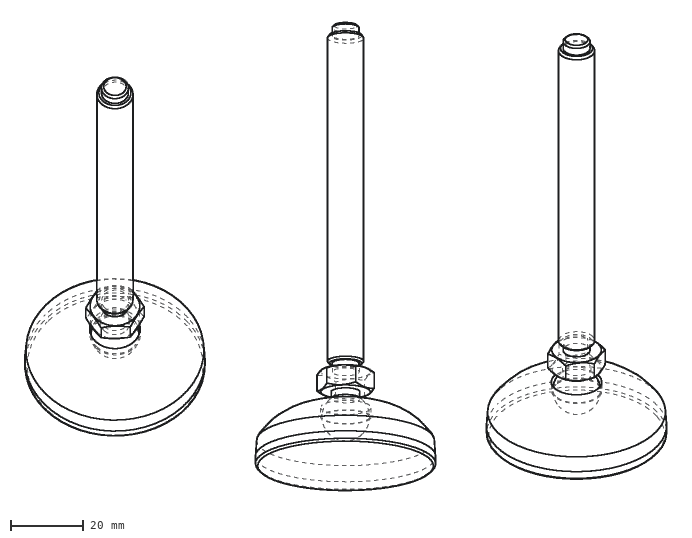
import cadquery as cq
import math

TOTAL_HEIGHT = 127.2

FOOT_DIAMETER = 50.0
PAD_HEIGHT = 2.8
PAD_CHAMFER = 0.6

SKIRT_TOP_DIAMETER = 49.4
SKIRT_TOP_Z = 7.4
DOME_RIM_DIAMETER = 48.6
DOME_RADIUS = 20.6
DOME_RIM_Z = 8.1
DOME_FLAT_DIAMETER = 18.3
DOME_TOP_Z = 16.9
SOCKET_MOUTH_DIAMETER = 14.0

BALL_DIAMETER = 13.2
NECK_DIAMETER = 8.0
NECK_BOTTOM_Z = 19.5
HEX_ACROSS_FLATS = 14.0
HEX_FACE_DIAMETER = 13.7
HEX_CHAMFER_ANGLE = 30.0
HEX_BOTTOM_Z = 21.4
HEX_TOP_Z = 27.2
RELIEF_DIAMETER = 7.5
ROD_DIAMETER = 10.0
ROD_END_DIAMETER = 8.9
ROD_BOTTOM_Z = 29.6
ROD_BOTTOM_CHAMFER_HEIGHT = 0.57
ROD_TOP_CHAMFER_HEIGHT = 0.8
TIP_DIAMETER = 7.5
TIP_END_DIAMETER = 6.2
TIP_LENGTH = 2.8
TIP_CHAMFER_HEIGHT = 0.6

BALL_RADIUS = BALL_DIAMETER / 2
BALL_CENTER_Z = NECK_BOTTOM_Z - math.sqrt(BALL_RADIUS**2 - (NECK_DIAMETER / 2) ** 2)
ROD_TOP_Z = TOTAL_HEIGHT - TIP_LENGTH


def revolve_profile(profile):
    """Turn a closed XZ outline (radius, height) around the Z axis."""
    return profile.close().revolve(360, (0, 0, 0), (0, 1, 0))


def cylinder(diameter, bottom_z, top_z):
    return cq.Workplane("XY").workplane(offset=bottom_z).circle(diameter / 2).extrude(top_z - bottom_z)


def ball():
    return cq.Workplane("XY").sphere(BALL_RADIUS).translate((0, 0, BALL_CENTER_Z))


def make_pad():
    return cylinder(FOOT_DIAMETER, 0, PAD_HEIGHT).faces("<Z").edges().chamfer(PAD_CHAMFER)


def make_foot():
    dome = revolve_profile(
        cq.Workplane("XZ")
        .moveTo(0, PAD_HEIGHT)
        .lineTo(FOOT_DIAMETER / 2, PAD_HEIGHT)
        .lineTo(SKIRT_TOP_DIAMETER / 2, SKIRT_TOP_Z)
        .lineTo(DOME_RIM_DIAMETER / 2, DOME_RIM_Z)
        .radiusArc((DOME_FLAT_DIAMETER / 2, DOME_TOP_Z), -DOME_RADIUS)
        .lineTo(0, DOME_TOP_Z)
    )
    mouth = cylinder(SOCKET_MOUTH_DIAMETER, BALL_CENTER_Z, DOME_TOP_Z)
    return dome.cut(ball()).cut(mouth)


def make_hexagon():
    """Hexagon with flats facing +X and -X and its corners chamfered at both ends."""
    corner_diameter = HEX_ACROSS_FLATS / math.cos(math.radians(30))
    height = HEX_TOP_Z - HEX_BOTTOM_Z
    prism = (
        cq.Workplane("XY")
        .workplane(offset=HEX_BOTTOM_Z)
        .transformed(rotate=(0, 0, 90))
        .polygon(6, corner_diameter)
        .extrude(height)
    )
    face_radius = HEX_FACE_DIAMETER / 2
    slope = math.tan(math.radians(HEX_CHAMFER_ANGLE))
    middle_radius = face_radius + height / 2 / slope
    envelope = revolve_profile(
        cq.Workplane("XZ")
        .moveTo(0, HEX_BOTTOM_Z)
        .lineTo(face_radius, HEX_BOTTOM_Z)
        .lineTo(middle_radius, HEX_BOTTOM_Z + height / 2)
        .lineTo(face_radius, HEX_TOP_Z)
        .lineTo(0, HEX_TOP_Z)
    )
    return prism.intersect(envelope)


def make_rod():
    return revolve_profile(
        cq.Workplane("XZ")
        .moveTo(0, ROD_BOTTOM_Z)
        .lineTo(ROD_END_DIAMETER / 2, ROD_BOTTOM_Z)
        .lineTo(ROD_DIAMETER / 2, ROD_BOTTOM_Z + ROD_BOTTOM_CHAMFER_HEIGHT)
        .lineTo(ROD_DIAMETER / 2, ROD_TOP_Z - ROD_TOP_CHAMFER_HEIGHT)
        .lineTo(ROD_END_DIAMETER / 2, ROD_TOP_Z)
        .lineTo(TIP_DIAMETER / 2, ROD_TOP_Z)
        .lineTo(TIP_DIAMETER / 2, TOTAL_HEIGHT - TIP_CHAMFER_HEIGHT)
        .lineTo(TIP_END_DIAMETER / 2, TOTAL_HEIGHT)
        .lineTo(0, TOTAL_HEIGHT)
    )


def make_stud():
    neck = cylinder(NECK_DIAMETER, BALL_CENTER_Z, HEX_BOTTOM_Z)
    relief = cylinder(RELIEF_DIAMETER, HEX_TOP_Z, ROD_BOTTOM_Z)
    return ball().union(neck).union(make_hexagon()).union(relief).union(make_rod())


pad = make_pad()
foot = make_foot()
stud = make_stud()

result = cq.Compound.makeCompound([pad.val(), foot.val(), stud.val()])